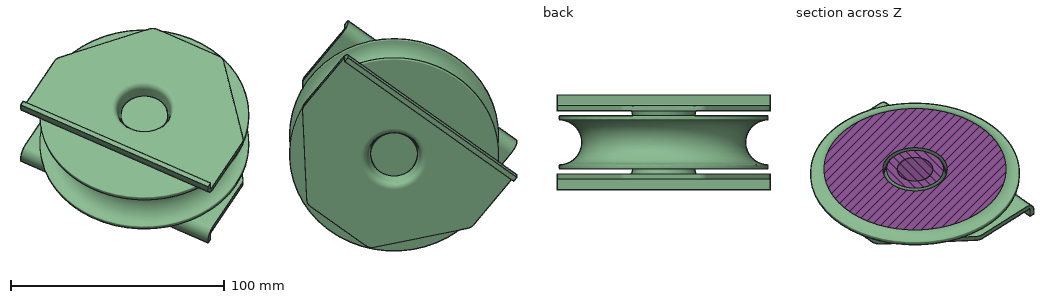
import cadquery as cq
import math

wheel_radius = 49.0
wheel_half_width = 12.5
groove_radius = 10.5
rim_fillet = 0.5
recess_radius = 15.0

sheet = 2.5
plate_width = 100.0
plate_gap_half = 14.75
plate_front_y = -29.5
plate_back_y = 43.0
shoulder_y = 5.5
back_edge_half_length = 18.5
corner_radius = 5.0
lip_height = 7.5
lip_bend_radius = 5.0
lip_inner_radius = 0.5

cup_mouth_radius = 15.5
cup_depth = 7.5
cup_floor_radius = 11.0
cup_mouth_bend = 3.0
cup_floor_bend = 0.6

plate_outer_z = plate_gap_half + sheet
cup_floor_z = plate_outer_z - cup_depth
cup_underside_z = cup_floor_z - sheet

shank_radius = 8.5
head_radius = cup_floor_radius
head_sink = 5.8
head_z = plate_outer_z - head_sink


def make_wheel():
    """Wheel with a half-round rope groove, rounded rims, an axle bore and a recess for each cup."""
    disc = cq.Workplane("XY").circle(wheel_radius).circle(shank_radius).extrude(wheel_half_width, both=True)
    recess_plug = cq.Workplane("XY").workplane(offset=cup_underside_z).circle(recess_radius)
    recess_plug = recess_plug.extrude(wheel_half_width - cup_underside_z)
    disc = disc.cut(recess_plug).cut(recess_plug.mirror("XY"))
    groove = cq.Workplane("XZ").center(wheel_radius, 0).circle(groove_radius)
    groove = groove.revolve(360, (-wheel_radius, 0), (-wheel_radius, 1))
    rim_edges = cq.selectors.RadiusNthSelector(-1)
    return disc.cut(groove).edges(rim_edges).fillet(rim_fillet)


def make_flat_sheet():
    """Flat part of the upper plate, with a round opening for the cup."""
    half_width = plate_width / 2
    sheet_outline = [
        (-half_width, plate_front_y),
        (half_width, plate_front_y),
        (half_width, shoulder_y),
        (back_edge_half_length, plate_back_y),
        (-back_edge_half_length, plate_back_y),
        (-half_width, shoulder_y),
    ]
    flat = cq.Workplane("XY").workplane(offset=plate_gap_half)
    flat = flat.polyline(sheet_outline).close().extrude(sheet)
    flat = flat.edges("|Z").edges("not(<Y)").fillet(corner_radius)
    return flat.cut(cq.Workplane("XY").circle(cup_mouth_radius).extrude(plate_width))


def add_lip(flat):
    """Turn the front edge outward, with a wide outer and a tight inner bend radius."""
    lip = cq.Workplane("XY").box(plate_width, sheet, lip_height, centered=(True, False, False))
    lip = lip.translate((0, plate_front_y, plate_gap_half))
    bent = flat.union(lip).edges("|X and <Y and <Z").fillet(lip_bend_radius)
    inner_corner = (0, plate_front_y + sheet, plate_gap_half + sheet)
    return bent.edges(cq.selectors.NearestToPointSelector(inner_corner)).fillet(lip_inner_radius)


def make_cup():
    """Cup of even sheet thickness, open away from the wheel, with an axle hole in its floor."""
    mouth_centre = (cup_mouth_radius, plate_outer_z - cup_mouth_bend)
    floor_centre = (cup_floor_radius, cup_floor_z + cup_floor_bend)

    run = mouth_centre[0] - floor_centre[0]
    rise = mouth_centre[1] - floor_centre[1]
    wall = math.acos((cup_mouth_bend + cup_floor_bend) / math.hypot(run, rise)) - math.atan2(rise, run)
    bend_middle = (wall + math.pi / 2) / 2

    def on_mouth_bend(radius, angle):
        return (mouth_centre[0] - radius * math.cos(angle), mouth_centre[1] + radius * math.sin(angle))

    def on_floor_bend(radius, angle):
        return (floor_centre[0] + radius * math.cos(angle), floor_centre[1] - radius * math.sin(angle))

    inner_mouth = cup_mouth_bend
    outer_mouth = cup_mouth_bend - sheet
    inner_floor = cup_floor_bend
    outer_floor = cup_floor_bend + sheet
    section = (
        cq.Workplane("XZ")
        .moveTo(shank_radius, cup_floor_z)
        .lineTo(cup_floor_radius, cup_floor_z)
        .threePointArc(on_floor_bend(inner_floor, bend_middle), on_floor_bend(inner_floor, wall))
        .lineTo(*on_mouth_bend(inner_mouth, wall))
        .threePointArc(on_mouth_bend(inner_mouth, bend_middle), (cup_mouth_radius, plate_outer_z))
        .lineTo(cup_mouth_radius, plate_gap_half)
        .threePointArc(on_mouth_bend(outer_mouth, bend_middle), on_mouth_bend(outer_mouth, wall))
        .lineTo(*on_floor_bend(outer_floor, wall))
        .threePointArc(on_floor_bend(outer_floor, bend_middle), (cup_floor_radius, cup_underside_z))
        .lineTo(shank_radius, cup_underside_z)
        .close()
    )
    return section.revolve(360, (0, 0), (0, 1))


def make_side_plate():
    return add_lip(make_flat_sheet()).union(make_cup())


def make_axle():
    """Round shank with a head resting on each cup floor."""
    shank = cq.Workplane("XY").circle(shank_radius).extrude(head_z, both=True)
    head = cq.Workplane("XY").workplane(offset=cup_floor_z).circle(head_radius).extrude(head_z - cup_floor_z)
    return shank.union(head).union(head.mirror("XY"))


wheel = make_wheel()
axle = make_axle()
upper_plate = make_side_plate()
side_plates = [upper_plate, upper_plate.mirror("XY")]
result = cq.Compound.makeCompound([wheel.val(), axle.val()] + [plate.val() for plate in side_plates])